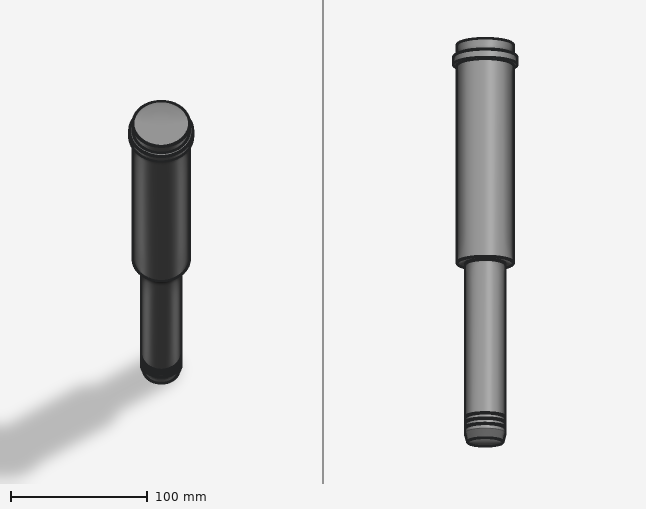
import cadquery as cq

total_length = 300.0

pin_radius = 15.0
tip_radius = 13.3
taper_length = 7.0
tip_break = 0.4
neck_radius = 14.5
neck_width = 1.0
joint_overlap = 1.0

groove_radius = 0.5
groove_width = 2 * groove_radius
lowest_groove_height = 10.0
groove_pitch = 4.0
lubrication_groove_count = 3

sleeve_radius = 21.0
sleeve_length = 165.0
collar_radius = 23.5
collar_height = 6.0
collar_top_offset = 9.0
edge_break = 0.5

sleeve_bottom = total_length - sleeve_length
collar_top = total_length - collar_top_offset
collar_bottom = collar_top - collar_height


def revolve_outline(outline):
    """Turn a closed (radius, height) outline around the part axis."""
    points = [(-radius, height) for radius, height in outline]
    return cq.Workplane("XZ").polyline(points).close().revolve(360, (0, 0), (0, 1))


def make_pin():
    """Slim pin with a tapered, chamfered tip and a relief neck, ending inside the sleeve."""
    return revolve_outline([
        (0, 0),
        (tip_radius - tip_break, 0),
        (tip_radius, tip_break),
        (pin_radius, taper_length),
        (pin_radius, sleeve_bottom - neck_width),
        (neck_radius, sleeve_bottom - neck_width),
        (neck_radius, sleeve_bottom + joint_overlap),
        (0, sleeve_bottom + joint_overlap),
    ])


def make_sleeve():
    """Thick upper body with chamfered ends and a collar near its top."""
    return revolve_outline([
        (0, sleeve_bottom),
        (sleeve_radius - edge_break, sleeve_bottom),
        (sleeve_radius, sleeve_bottom + edge_break),
        (sleeve_radius, collar_bottom),
        (collar_radius, collar_bottom),
        (collar_radius, collar_top - edge_break),
        (collar_radius - edge_break, collar_top),
        (sleeve_radius, collar_top),
        (sleeve_radius, total_length - edge_break),
        (sleeve_radius - edge_break, total_length),
        (0, total_length),
    ])


def make_groove(surface_radius, bottom):
    """Ring of round section centred on the surface of the given radius."""
    section = cq.Workplane("XZ").moveTo(-surface_radius, bottom + groove_radius).circle(groove_radius)
    return section.revolve(360, (0, 0, 0), (0, 1, 0))


lubrication_grooves = [
    (pin_radius, lowest_groove_height + index * groove_pitch)
    for index in range(lubrication_groove_count)
]
relief_grooves = [
    (sleeve_radius, collar_bottom - groove_width),
    (sleeve_radius, collar_top),
]

result = make_pin().union(make_sleeve())
for surface_radius, bottom in lubrication_grooves + relief_grooves:
    result = result.cut(make_groove(surface_radius, bottom))